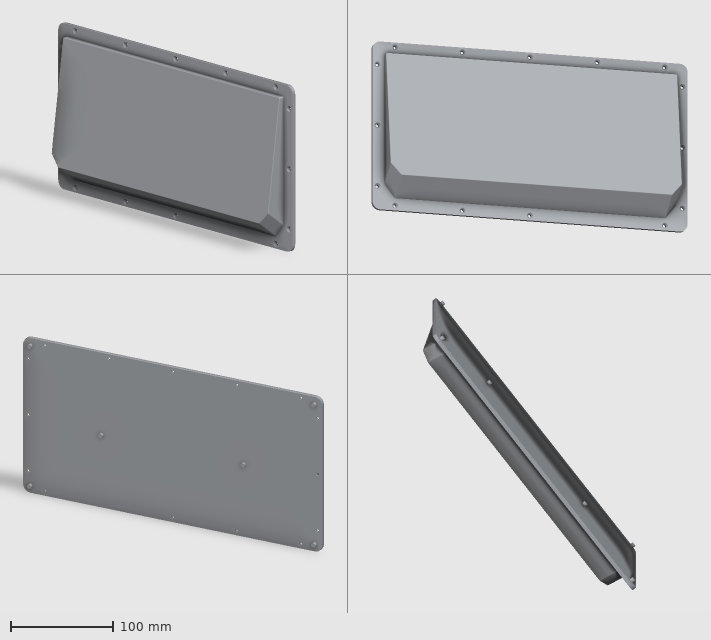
import cadquery as cq

PLATE_WIDTH = 321.2
PLATE_HEIGHT = 169.3
PLATE_THICKNESS = 4.0
CORNER_RADIUS = 8.0

HOOD_WIDTH = 297.0
HOOD_HEIGHT = 144.5
HOOD_TOP_DEPTH = 5.8
HOOD_TIP_DEPTH = 23.5
UNDERSIDE_RISE = 18.0
UNDERSIDE_CHAMFER = 10.5
SIDE_CORNER_RADIUS = 1.5
FRONT_RIM_RADIUS = 0.8

HOLE_DIAMETER = 3.0
COUNTERSINK_DIAMETER = 6.0
COUNTERSINK_ANGLE = 90
ROW_INSET = 4.8
SIDE_INSET = 5.0
ROW_PITCH = 68.7
SIDE_PITCH = 61.5

PIN_DIAMETER = 4.5
CORNER_PIN_LENGTH = 3.5
MIDDLE_PIN_LENGTH = 3.0
MIDDLE_PIN_X = 76.5
MIDDLE_PIN_Z = -5.0


def make_plate():
    return (
        cq.Workplane("XZ")
        .rect(PLATE_WIDTH, PLATE_HEIGHT)
        .extrude(-PLATE_THICKNESS)
        .edges("|Y")
        .fillet(CORNER_RADIUS)
    )


def make_hood():
    """Wedge that deepens downwards, with a slanted underside and chamfered lower corners."""
    top = HOOD_HEIGHT / 2
    bottom = -HOOD_HEIGHT / 2
    tip = bottom + UNDERSIDE_RISE
    wedge = (
        cq.Workplane("YZ")
        .polyline([(0, bottom), (0, top), (-HOOD_TOP_DEPTH, top), (-HOOD_TIP_DEPTH, tip)])
        .close()
        .extrude(HOOD_WIDTH / 2, both=True)
    )
    along_underside = cq.selectors.ParallelDirSelector(cq.Vector(0, -HOOD_TIP_DEPTH, UNDERSIDE_RISE))
    front_normal = cq.Vector(0, tip - top, HOOD_TIP_DEPTH - HOOD_TOP_DEPTH)
    front_face = cq.selectors.DirectionMinMaxSelector(front_normal)
    hood = wedge.edges(along_underside).chamfer(UNDERSIDE_CHAMFER)
    hood = hood.edges(along_underside).fillet(SIDE_CORNER_RADIUS)
    hood = hood.faces(">Z").edges("|Y").fillet(SIDE_CORNER_RADIUS)
    return hood.faces(front_face).edges().fillet(FRONT_RIM_RADIUS)


def screw_hole_positions():
    """(x, z) of each hole; the bottom row has no hole at +ROW_PITCH."""
    row_z = PLATE_HEIGHT / 2 - ROW_INSET
    side_x = PLATE_WIDTH / 2 - SIDE_INSET
    top_row = [(step * ROW_PITCH, row_z) for step in (-2, -1, 0, 1, 2)]
    bottom_row = [(step * ROW_PITCH, -row_z) for step in (-2, -1, 0, 2)]
    sides = [(side * side_x, step * SIDE_PITCH) for side in (-1, 1) for step in (-1, 0, 1)]
    return top_row + bottom_row + sides


def cut_screw_holes(body):
    return (
        body.copyWorkplane(cq.Workplane("XZ"))
        .pushPoints(screw_hole_positions())
        .cskHole(HOLE_DIAMETER, COUNTERSINK_DIAMETER, COUNTERSINK_ANGLE)
    )


def make_pins(positions, length):
    return (
        cq.Workplane("XZ", origin=(0, PLATE_THICKNESS, 0))
        .pushPoints(positions)
        .circle(PIN_DIAMETER / 2)
        .extrude(-length)
    )


corner_pin_x = PLATE_WIDTH / 2 - CORNER_RADIUS
corner_pin_z = PLATE_HEIGHT / 2 - CORNER_RADIUS
corner_pins = [(i * corner_pin_x, j * corner_pin_z) for i in (-1, 1) for j in (-1, 1)]
middle_pins = [(side * MIDDLE_PIN_X, MIDDLE_PIN_Z) for side in (-1, 1)]

result = cut_screw_holes(make_plate())
result = result.union(make_hood())
result = result.union(make_pins(corner_pins, CORNER_PIN_LENGTH))
result = result.union(make_pins(middle_pins, MIDDLE_PIN_LENGTH))